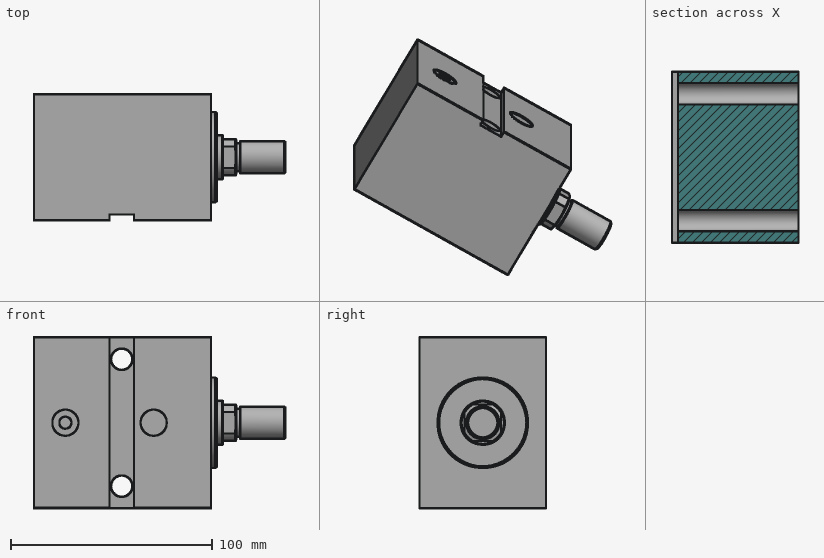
import cadquery as cq


total_length = 125.0
housing_length = 88.0
housing_width = 63.0
housing_height = 85.0
edge_chamfer = 0.3
front_y = -housing_width / 2

slot_center_x = 43.6
slot_width = 12.0
slot_depth = 3.0
mounting_hole_diameter = 10.5
mounting_hole_spacing = 63.0

port_diameter = 13.0
port_depth = 0.5
rear_port_x = 15.6
front_port_x = 59.5

pin_diameter = 6.0

gland_diameter = 45.0
gland_length = 3.0
gland_chamfer_length = 1.0
gland_chamfer_drop = 0.9
gland_end_x = housing_length + gland_length

rod_diameter = 22.0
rod_shoulder_x = 94.0
rod_shoulder_chamfer = 0.5
collar_diameter = 20.9
collar_end_x = 100.5
collar_chamfer_length = 0.8
collar_chamfer_drop = 2.2
collar_across_flats = 18.0
neck_diameter = 14.0
thread_start_x = 102.5
thread_diameter = 16.0
thread_lead_in = 0.2
thread_tip_chamfer = 0.8


def make_cylinder(diameter, start_x, end_x, chamfer_length=0.0, chamfer_drop=0.0):
    """Cylinder on the X axis; the chamfer, if any, lowers the radius at its +X end."""
    radius = diameter / 2
    points = [(start_x, 0), (start_x, radius), (end_x - chamfer_length, radius)]
    if chamfer_length > 0:
        points.append((end_x, radius - chamfer_drop))
    points.append((end_x, 0))
    return cq.Workplane("XY").polyline(points).close().revolve(360, (0, 0, 0), (1, 0, 0))


def make_front_disc(diameter, depth, center_x, center_z=0.0):
    """Cylinder reaching from the front face into the housing."""
    workplane = cq.Workplane("XZ", origin=(center_x, front_y, center_z))
    return workplane.circle(diameter / 2).extrude(-depth)


def make_housing():
    """Block with the cross slot, mounting holes and port recesses."""
    block = cq.Workplane("XY").box(
        housing_length, housing_width, housing_height, centered=(False, True, True)
    )
    block = block.edges("|X").chamfer(edge_chamfer)
    slot = cq.Workplane("XY", origin=(slot_center_x, front_y + slot_depth / 2, 0)).box(
        slot_width, slot_depth, housing_height
    )
    block = block.cut(slot)
    for side in (-1, 1):
        hole_z = side * mounting_hole_spacing / 2
        block = block.cut(make_front_disc(mounting_hole_diameter, housing_width, slot_center_x, hole_z))
    for port_x in (rear_port_x, front_port_x):
        block = block.cut(make_front_disc(port_diameter, port_depth, port_x))
    return block


def make_port_pin():
    """Short round pin on the floor of the rear port."""
    return make_front_disc(pin_diameter, port_depth, rear_port_x)


def make_gland():
    """Chamfered ring around the rod, seated on the end of the housing."""
    ring = make_cylinder(
        gland_diameter, housing_length, gland_end_x, gland_chamfer_length, gland_chamfer_drop
    )
    return ring.cut(make_cylinder(rod_diameter, housing_length, gland_end_x))


def make_collar():
    """Round collar with four wrench flats and a coned end."""
    collar = make_cylinder(
        collar_diameter, rod_shoulder_x, collar_end_x, collar_chamfer_length, collar_chamfer_drop
    )
    flats = cq.Workplane("XY", origin=(rod_shoulder_x, 0, 0)).box(
        collar_end_x - rod_shoulder_x, collar_across_flats, collar_across_flats,
        centered=(False, True, True),
    )
    return collar.intersect(flats)


def make_thread():
    """Plain threaded end: cone rising from the neck, cylinder and chamfered tip."""
    neck_radius = neck_diameter / 2
    thread_radius = thread_diameter / 2
    profile = cq.Workplane("XY").polyline([
        (thread_start_x - thread_lead_in, 0),
        (thread_start_x - thread_lead_in, neck_radius),
        (thread_start_x, thread_radius),
        (total_length - thread_tip_chamfer, thread_radius),
        (total_length, thread_radius - thread_tip_chamfer),
        (total_length, 0),
    ]).close()
    return profile.revolve(360, (0, 0, 0), (1, 0, 0))


def make_rod():
    """One-piece stepped rod: shoulder, collar, neck and threaded end."""
    shoulder = make_cylinder(
        rod_diameter, housing_length, rod_shoulder_x, rod_shoulder_chamfer, rod_shoulder_chamfer
    )
    neck = make_cylinder(neck_diameter, collar_end_x, thread_start_x)
    return shoulder.union(make_collar()).union(neck).union(make_thread())


housing = make_housing()
port_pin = make_port_pin()
gland = make_gland()
rod = make_rod()

result = cq.Compound.makeCompound([housing.val(), port_pin.val(), gland.val(), rod.val()])